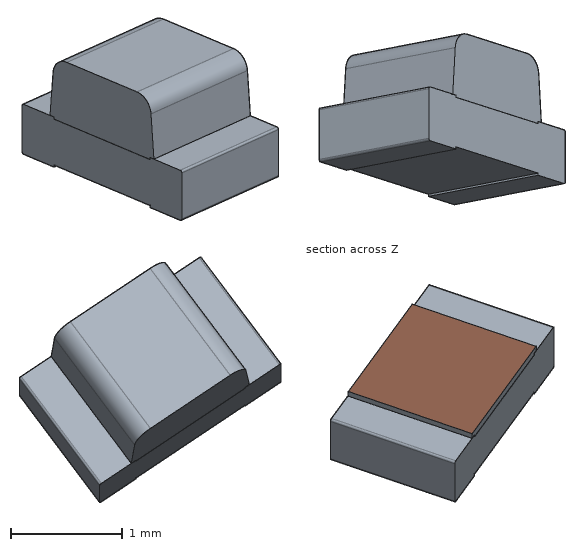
import cadquery as cq

length = 2.0
width = 1.25
height = 1.1

base_height = 0.5
terminal_length = 0.4
plating = 0.02
terminal_corner_radius = plating
terminal_gap = length - 2 * terminal_length

lens_bottom_length = 1.3
lens_top_length = 1.2
lens_edge_radius = 0.175
lens_setback = 0.001
lens_width = width - 2 * lens_setback


def block(size_x, size_y, size_z, bottom):
    """Box centred on X and Y with its lower face at Z = bottom."""
    base = cq.Workplane("XY").workplane(offset=bottom)
    return base.box(size_x, size_y, size_z, centered=(True, True, False))


def make_board():
    """Flat board between the inner faces of the terminal plating."""
    return block(length - 2 * plating, width, base_height - 2 * plating, plating)


def make_terminals():
    """Plating on both board ends, wrapping onto the top and bottom faces."""
    wrap = block(length, width, base_height, 0).edges("|Y").fillet(terminal_corner_radius)
    return wrap.cut(block(terminal_gap, width, base_height, 0))


def make_lens():
    """Lens block that stands on the board and laps over the terminals."""
    half_bottom = lens_bottom_length / 2
    half_top = lens_top_length / 2
    upper = (
        cq.Workplane("XZ")
        .moveTo(-half_bottom, base_height)
        .lineTo(half_bottom, base_height)
        .lineTo(half_top, height)
        .lineTo(-half_top, height)
        .close()
        .extrude(lens_width / 2, both=True)
        .edges("|Y and >Z")
        .fillet(lens_edge_radius)
    )
    foot = block(terminal_gap, lens_width, plating, base_height - plating)
    return upper.union(foot)


result = make_board().union(make_terminals()).union(make_lens())